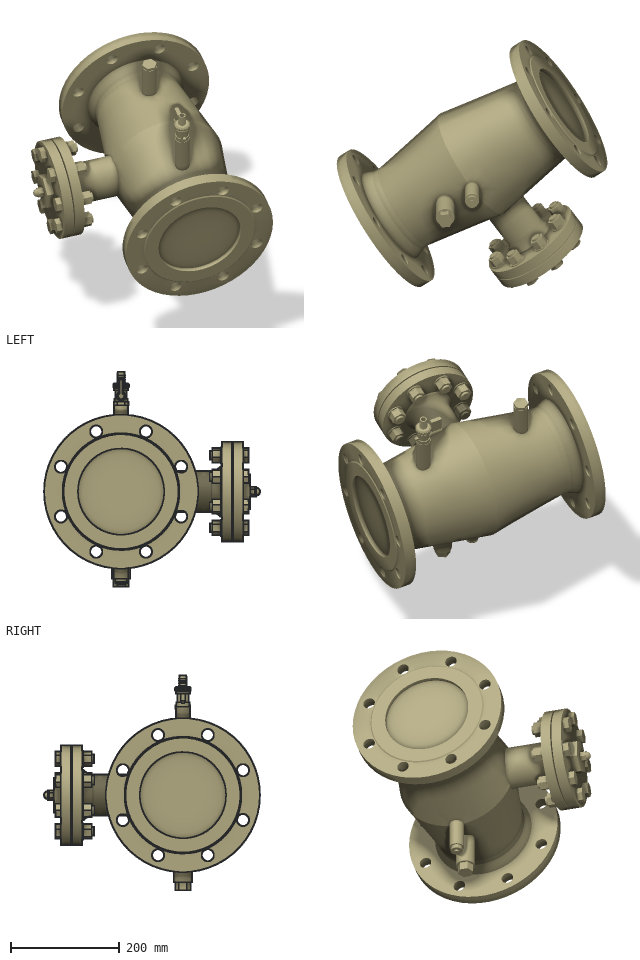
import cadquery as cq
import math

overall_length = 414.0
half_length = overall_length / 2
raised_face_height = 1.5
raised_face_dia = 212.0
raised_face_root_dia = 216.0
pipe_flange_dia = 285.0
pipe_flange_thickness = 21.5
pipe_flange_hole_dia = 22.0
pipe_flange_pitch_dia = 240.0
flange_neck_root_dia = 184.5
pipe_dia = 168.5
neck_end_x = 164.5
cone_end_x = 152.8
body_mid_dia = 219.5
bore_dia = 159.5
bore_depth = 8.3
bolts_per_flange = 8
half_step_angle = 180 / bolts_per_flange

branch_dia = 76.0
cover_neck_start = 166.5
cover_flange_start = 186.5
cover_flange_thickness = 18.2
cover_flange_dia = 185.0
cover_neck_root_dia = 93.5
cover_neck_rim = 2.5
flare_mid_rise = 2.0
cover_pitch_dia = 145.0
gasket_dia = 122.0
gasket_thickness = 2.5
stud_dia = 17.0
stud_overhang = 4.0
nut_height = 16.0
bolt_head_height = 10.5
bolt_hex_flats = 24.0
washer_dia = 30.5
washer_thickness = 2.0
cover_boss_flats = 56.0
cover_boss_height = 13.2
nipple_flats = 16.0
nipple_ring_dia = 18.0
nipple_ring_thickness = 2.0
nipple_dome_dia = 15.0
branch_tip = 256.5

plug_x = -100.0
plug_tube_dia = 26.5
plug_tube_top = 159.5
plug_top_z = 165.5
plug_hex_flats = 24.0

cock_x = 99.8
cock_post_dia = 26.5
cock_post_top = 163.0
cock_collar_dia = 25.0
cock_collar_top = 171.5
cock_body_flats = 21.5
cock_body_sides = 8
cock_disc_dia = 26.5
cock_disc_z = 187.0
cock_nut_dia = 30.0
cock_nut_base = 190.5
cock_nut_top = 200.5
cock_nut_chamfer = 3.0
knurl_count = 20
knurl_dia = 2.0
tail_dia = 13.0
tail_top = 221.5
tail_bore_dia = 9.0
tail_bore_depth = 12.5
barb_dia = 15.0
barb_height = 4.5
barb_count = 4
first_barb_base = 201.5

lever_axis_z = 176.5
lever_boss_dia = 16.0
lever_boss_reach = 13.2
lever_stem_dia = 11.5
lever_reach = 36.0
lever_plate_width = 20.5
lever_plate_thickness = 7.5
lever_plate_top = 207.5
lever_plate_chamfer = 1.5
stop_pin_width = 5.0
stop_pin_reach = 17.0
stop_pin_z = 172.0

stub_shoulder_z = -160.5
vent_stub_dia = 26.5
vent_neck_dia = 20.5
vent_neck_length = 6.0
vent_disc_dia = 22.5
vent_disc_thickness = 2.5
vent_tip_dia = 9.0
vent_tip_length = 3.0
drain_stub_x = 60.5
drain_stub_dia = 34.5
drain_hex_flats = 25.3
part_bottom_z = -176.0


def rod(x, z_start, z_end, diameter):
    """Vertical cylinder on the plane Y = 0."""
    return cq.Workplane("XY", origin=(x, 0, z_start)).circle(diameter / 2).extrude(z_end - z_start)


def prism(x, z_start, z_end, sides, flats):
    """Vertical regular prism with a flat facing +X."""
    corners = flats / math.cos(math.pi / sides)
    return (
        cq.Workplane("XY", origin=(x, 0, z_start))
        .transformed(rotate=(0, 0, 180 / sides))
        .polygon(sides, corners)
        .extrude(z_end - z_start)
    )


def branch_rod(start, end, diameter):
    """Cylinder on the branch axis, between two distances from the body axis."""
    return cq.Workplane("XZ", origin=(0, -start, 0)).circle(diameter / 2).extrude(end - start)


def branch_hex(start, end, flats):
    """Hexagonal prism on the branch axis, with corners up and down."""
    corners = flats / math.cos(math.pi / 6)
    return (
        cq.Workplane("XZ", origin=(0, -start, 0))
        .transformed(rotate=(0, 0, 90))
        .polygon(6, corners)
        .extrude(end - start)
    )


def make_body():
    face_x = half_length - raised_face_height
    flange_inner_x = face_x - pipe_flange_thickness
    half_profile = [
        (cone_end_x, pipe_dia / 2),
        (neck_end_x, pipe_dia / 2),
        (flange_inner_x, flange_neck_root_dia / 2),
        (flange_inner_x, pipe_flange_dia / 2),
        (face_x, pipe_flange_dia / 2),
        (face_x, raised_face_root_dia / 2),
        (half_length, raised_face_dia / 2),
        (half_length, bore_dia / 2),
        (half_length - bore_depth, bore_dia / 2),
        (half_length - bore_depth, 0),
    ]
    mirrored_profile = [(-x, radius) for x, radius in reversed(half_profile)]
    outline = mirrored_profile + [(0, body_mid_dia / 2)] + half_profile
    body = cq.Workplane("XY").polyline(outline).close().revolve(360, (0, 0, 0), (1, 0, 0))
    for flange_start in (-half_length, flange_inner_x):
        bolt_holes = (
            cq.Workplane("YZ", origin=(flange_start, 0, 0))
            .polarArray(pipe_flange_pitch_dia / 2, half_step_angle, 360, bolts_per_flange)
            .circle(pipe_flange_hole_dia / 2)
            .extrude(half_length - flange_inner_x)
        )
        body = body.cut(bolt_holes)
    return body


def make_bolt(flange_end):
    """Stud with washer, nut and head, placed at its highest point on the pitch circle."""
    nut_start = cover_flange_start - washer_thickness - nut_height
    bolt = branch_rod(nut_start - stud_overhang, flange_end, stud_dia)
    bolt = bolt.union(branch_hex(nut_start, nut_start + nut_height, bolt_hex_flats))
    bolt = bolt.union(branch_rod(cover_flange_start - washer_thickness, cover_flange_start, washer_dia))
    bolt = bolt.union(branch_hex(flange_end, flange_end + bolt_head_height, bolt_hex_flats))
    return bolt.rotate((0, 0, 0), (0, 1, 0), -half_step_angle).translate((0, 0, cover_pitch_dia / 2))


def make_branch():
    gasket_start = cover_flange_start + cover_flange_thickness
    cover_start = gasket_start + gasket_thickness
    cover_end = cover_start + cover_flange_thickness
    branch = branch_rod(0, cover_neck_start, branch_dia)

    flare_mid_radius = branch_dia / 2 + flare_mid_rise
    flare_end = cover_flange_start - cover_neck_rim
    flare_mid = (cover_neck_start + flare_end) / 2
    neck = (
        cq.Workplane("XY")
        .moveTo(0, -cover_neck_start)
        .lineTo(branch_dia / 2, -cover_neck_start)
        .threePointArc((flare_mid_radius, -flare_mid), (cover_neck_root_dia / 2, -flare_end))
        .lineTo(cover_neck_root_dia / 2, -cover_flange_start)
        .lineTo(0, -cover_flange_start)
        .close()
        .revolve(360, (0, 0, 0), (0, 1, 0))
    )
    branch = branch.union(neck)
    branch = branch.union(branch_rod(cover_flange_start, gasket_start, cover_flange_dia))
    branch = branch.union(branch_rod(gasket_start, cover_start, gasket_dia))
    branch = branch.union(branch_rod(cover_start, cover_end, cover_flange_dia))

    bolt = make_bolt(cover_end)
    for index in range(bolts_per_flange):
        angle = (index + 0.5) * 360 / bolts_per_flange
        branch = branch.union(bolt.rotate((0, 0, 0), (0, 1, 0), angle))

    boss_end = cover_end + cover_boss_height
    dome_centre = branch_tip - nipple_dome_dia / 2
    branch = branch.union(branch_hex(cover_end, boss_end, cover_boss_flats))
    branch = branch.union(branch_hex(boss_end, dome_centre, nipple_flats))
    branch = branch.union(branch_rod(dome_centre - nipple_ring_thickness, dome_centre, nipple_ring_dia))
    dome = cq.Workplane("XY").sphere(nipple_dome_dia / 2).translate((0, -dome_centre, 0))
    return branch.union(dome)


def make_plug_stub():
    stub = rod(plug_x, 0, plug_tube_top, plug_tube_dia)
    return stub.union(prism(plug_x, plug_tube_top, plug_top_z, 6, plug_hex_flats))


def make_cock_nut():
    nut = rod(cock_x, cock_nut_base, cock_nut_top, cock_nut_dia).edges().chamfer(cock_nut_chamfer)
    grooves = (
        cq.Workplane("XY", origin=(cock_x, 0, cock_nut_base))
        .polarArray(cock_nut_dia / 2, 0, 360, knurl_count)
        .circle(knurl_dia / 2)
        .extrude(cock_nut_top - cock_nut_base)
    )
    return nut.cut(grooves)


def make_hose_tail():
    tail = rod(cock_x, cock_nut_base, tail_top, tail_dia)
    for index in range(barb_count):
        base = first_barb_base + index * barb_height
        barb = (
            cq.Workplane("XY", origin=(cock_x, 0, base))
            .circle(barb_dia / 2)
            .workplane(offset=barb_height)
            .circle(tail_dia / 2)
            .loft()
        )
        tail = tail.union(barb)
    return tail.cut(rod(cock_x, tail_top - tail_bore_depth, tail_top, tail_bore_dia))


def make_lever():
    toward_lever = cq.Workplane("YZ", origin=(cock_x, 0, lever_axis_z))
    boss = toward_lever.circle(lever_boss_dia / 2).extrude(-lever_boss_reach)
    stem = toward_lever.circle(lever_stem_dia / 2).extrude(-lever_reach)
    plate = (
        cq.Workplane("XY", origin=(cock_x - lever_reach + lever_plate_width / 2, 0, lever_axis_z))
        .rect(lever_plate_width, lever_plate_thickness)
        .extrude(lever_plate_top - lever_axis_z)
        .edges("|Z and <X")
        .chamfer(lever_plate_chamfer)
    )
    stop_pin = (
        cq.Workplane("YZ", origin=(cock_x, 0, stop_pin_z))
        .rect(stop_pin_width, stop_pin_width)
        .extrude(stop_pin_reach)
    )
    return boss.union(stem).union(plate).union(stop_pin)


def make_drain_cock():
    cock = rod(cock_x, 0, cock_post_top, cock_post_dia)
    cock = cock.union(rod(cock_x, cock_post_top, cock_collar_top, cock_collar_dia))
    cock = cock.union(prism(cock_x, cock_collar_top, cock_disc_z, cock_body_sides, cock_body_flats))
    cock = cock.union(rod(cock_x, cock_disc_z, cock_nut_base, cock_disc_dia))
    return cock.union(make_cock_nut()).union(make_hose_tail()).union(make_lever())


def make_vent_stub():
    disc_z = stub_shoulder_z - vent_neck_length
    tip_z = disc_z - vent_disc_thickness
    stub = rod(0, stub_shoulder_z, 0, vent_stub_dia)
    stub = stub.union(rod(0, disc_z, stub_shoulder_z, vent_neck_dia))
    stub = stub.union(rod(0, tip_z, disc_z, vent_disc_dia))
    return stub.union(rod(0, tip_z - vent_tip_length, tip_z, vent_tip_dia))


def make_drain_stub():
    stub = rod(drain_stub_x, stub_shoulder_z, 0, drain_stub_dia)
    return stub.union(prism(drain_stub_x, part_bottom_z, stub_shoulder_z, 6, drain_hex_flats))


result = make_body()
attachments = (make_branch, make_plug_stub, make_drain_cock, make_vent_stub, make_drain_stub)
for make_attachment in attachments:
    result = result.union(make_attachment())